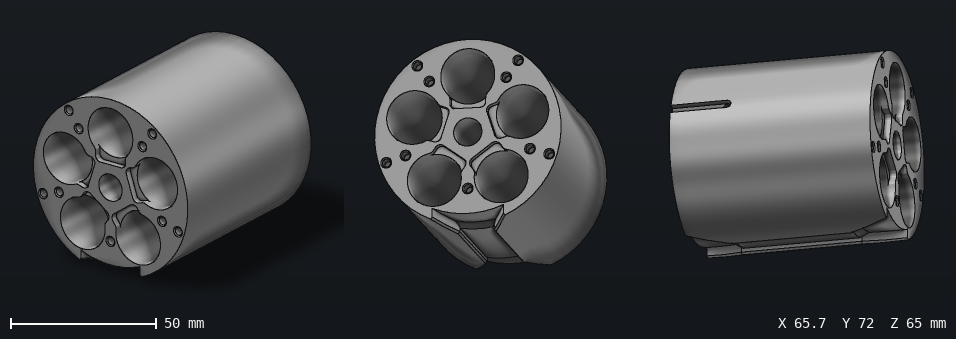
import cadquery as cq
import math

length = 72.0
front_y = -length / 2
back_y = length / 2
outer_diameter = 65.7
outer_radius = outer_diameter / 2

chamber_count = 5
chamber_step = 360 / chamber_count
first_chamber_angle = 90.0
pitch_radius = 20.0
chamber_radius = 9.5
axle_radius = 5.0

pocket_width = 12.7
pocket_inner_radius = 8.5
pocket_depth = 2.5
pocket_corner_radius = 2.0
pocket_lip_radius = pocket_corner_radius

screw_radius = 1.45
screw_depth = 4.3
screw_chamfer = 0.4
inner_screw_pitch_radius = 23.05
bottom_screw_pitch_radius = 20.0
bottom_angle = 270.0
outer_screw_pitch_radius = 30.2

keyway_angle = first_chamber_angle + chamber_step
keyway_width = 3.0
keyway_length = 21.6
keyway_floor_radius = 30.8

channel_half_width = 6.05
channel_mouth_half_width = 12.5
channel_flare_length = 14.4
channel_floor_depth = 30.6
channel_mouth_floor_depth = 28.9
channel_mouth_floor_length = 12.1
channel_ramp_length = 3.0
channel_chamfer_across = 0.6
channel_chamfer_height = 0.9
channel_axis_height = 4.0

clearance = 3.6


def polar(radius, angle):
    """X and Z of a point at the given radius and angle, seen from the front."""
    turn = math.radians(angle)
    return radius * math.cos(turn), radius * math.sin(turn)


def front_bore(points, radius, depth):
    """Round holes drilled from the front face toward the back."""
    plane = cq.Workplane("XZ", origin=(0, front_y, 0))
    return plane.pushPoints(points).circle(radius).extrude(-depth)


def turn_about_axis(shape, angle):
    """Turn a shape about the drum axis, from +X toward +Z."""
    return shape.rotate((0, 0, 0), (0, -1, 0), angle)


def chamber_pocket(angle):
    """Round-cornered pocket reaching from the chamber centre toward the axle."""
    pocket_reach = pitch_radius - pocket_inner_radius
    pocket = (
        cq.Workplane("XY")
        .box(pocket_reach, pocket_depth, pocket_width, centered=(False, False, True))
        .translate((pocket_inner_radius, front_y, 0))
        .edges("|Y and <X")
        .fillet(pocket_corner_radius)
    )
    return turn_about_axis(pocket, angle)


def pocket_lips(angle):
    """Points on the two edges where a pocket's side walls meet its chamber."""
    half_width = pocket_width / 2
    along = pitch_radius - math.sqrt(chamber_radius**2 - half_width**2)
    lip_distance = math.hypot(along, half_width)
    lip_turn = math.degrees(math.atan2(half_width, along))
    lips = [polar(lip_distance, angle + turn) for turn in (-lip_turn, lip_turn)]
    return [(x, front_y + pocket_depth / 2, z) for x, z in lips]


def screw_hole(point):
    """Blind hole with a chamfered mouth."""
    x, z = point
    hole = front_bore([point], screw_radius, screw_depth)
    mouth = cq.Solid.makeCone(
        screw_radius + screw_chamfer,
        screw_radius,
        screw_chamfer,
        pnt=cq.Vector(x, front_y, z),
        dir=cq.Vector(0, 1, 0),
    )
    return hole.union(cq.Workplane(mouth))


def keyway():
    """Round-ended groove with a hole through its end into the chamber."""
    end_radius = keyway_width / 2
    end_y = back_y - keyway_length + end_radius
    groove_height = outer_radius + clearance - keyway_floor_radius
    groove = (
        cq.Workplane("YZ", origin=(keyway_floor_radius, 0, 0))
        .moveTo(back_y + clearance, end_radius)
        .lineTo(end_y, end_radius)
        .threePointArc((end_y - end_radius, 0), (end_y, -end_radius))
        .lineTo(back_y + clearance, -end_radius)
        .close()
        .extrude(groove_height)
    )
    end_hole = (
        cq.Workplane("YZ", origin=(pitch_radius, 0, 0))
        .center(end_y, 0)
        .circle(end_radius)
        .extrude(outer_radius - pitch_radius)
    )
    return turn_about_axis(groove.union(end_hole), keyway_angle)


def channel():
    """Flared channel: its outline from below, limited inward by a turned floor."""
    flare_y = back_y - channel_flare_length
    outline = (
        cq.Workplane("XY")
        .polyline([
            (channel_mouth_half_width, front_y),
            (channel_half_width, -flare_y),
            (channel_half_width, flare_y),
            (channel_mouth_half_width, back_y),
            (-channel_mouth_half_width, back_y),
            (-channel_half_width, flare_y),
            (-channel_half_width, -flare_y),
            (-channel_mouth_half_width, front_y),
        ])
        .close()
        .extrude(-outer_radius - clearance)
    )
    ramp_start_y = back_y - channel_mouth_floor_length
    ramp_end_y = ramp_start_y - channel_ramp_length
    floor_radius = channel_floor_depth + channel_axis_height
    mouth_floor_radius = channel_mouth_floor_depth + channel_axis_height
    core = (
        cq.Workplane("XY")
        .polyline([
            (0, front_y),
            (mouth_floor_radius, front_y),
            (mouth_floor_radius, -ramp_start_y),
            (floor_radius, -ramp_end_y),
            (floor_radius, ramp_end_y),
            (mouth_floor_radius, ramp_start_y),
            (mouth_floor_radius, back_y),
            (0, back_y),
        ])
        .close()
        .revolve(360, (0, 0, 0), (0, 1, 0))
        .translate((0, 0, channel_axis_height))
    )
    return outline.cut(core)


def channel_rims():
    """Selector for the edges where the channel walls meet the outside of the drum."""
    below_floor = cq.selectors.BoxSelector(
        (-outer_radius, front_y, -outer_radius - clearance),
        (outer_radius, back_y, -channel_floor_depth),
    )
    upright = cq.selectors.ParallelDirSelector(cq.Vector(0, 0, 1))
    return below_floor - upright


chamber_angles = [first_chamber_angle + i * chamber_step for i in range(chamber_count)]
screw_angles = [angle + chamber_step / 2 for angle in chamber_angles]

result = cq.Workplane("XZ", origin=(0, front_y, 0)).circle(outer_radius).extrude(-length)
result = result.cut(channel())
result = result.edges(channel_rims()).chamfer(channel_chamfer_across, channel_chamfer_height)

chamber_centres = [polar(pitch_radius, angle) for angle in chamber_angles]
result = result.cut(front_bore(chamber_centres, chamber_radius, length))
result = result.cut(front_bore([(0, 0)], axle_radius, length))
for angle in chamber_angles:
    result = result.cut(chamber_pocket(angle))
    for lip in pocket_lips(angle):
        lip_edge = cq.selectors.NearestToPointSelector(lip)
        result = result.edges(lip_edge).fillet(pocket_lip_radius)

for angle in screw_angles:
    if math.isclose(angle % 360, bottom_angle):
        screw_radii = [bottom_screw_pitch_radius]
    else:
        screw_radii = [inner_screw_pitch_radius, outer_screw_pitch_radius]
    for radius in screw_radii:
        result = result.cut(screw_hole(polar(radius, angle)))

result = result.cut(keyway())